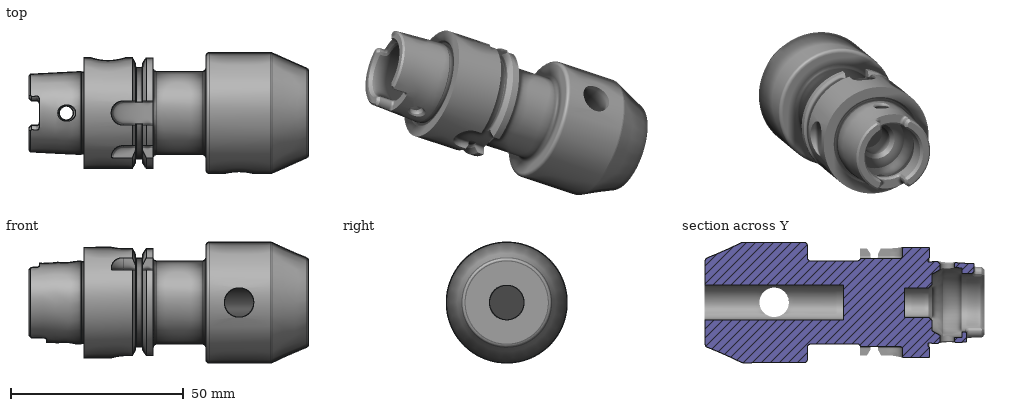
import cadquery as cq


taper_length = 15.9
taper_gauge_radius = 12.05
taper_ratio = 1 / 20
taper_edge_chamfer = 0.5
taper_tip_radius = taper_gauge_radius - taper_ratio * taper_length

relief_start = -0.9
relief_neck_start = -0.65
relief_bottom = 0.4
relief_inner_radius = 11.85
relief_floor_radius = 12.5
relief_outer_radius = 13.0

flange_radius = 16.0
flange_end = 20.0
groove_floor_radius = 13.25
groove_floor_fillet = 0.25
groove_start = 14.9
groove_end = 17.0
groove_bevel_depth = 1.6
groove_start_bevel = 0.9
groove_end_bevel = 1.05

neck_radius = 12.05
neck_fillet = 1.0

nose_end = 65.0
collar_start = 35.3
collar_radius = 17.5
collar_edge_round = 1.0
collar_end = 54.2
nose_radius = 12.7

cavity_radius = 8.4
cavity_mouth_radius = 9.0
cavity_mouth_length = 1.05
cavity_shoulder = -9.3
recess_radius = 10.0
recess_end = -3.9
cavity_bottom = -0.8
cavity_bottom_radius = 8.2
plug_bore_radius = 4.2
plug_bore_chamfer = 1.1
plug_bore_depth = 8.0

drive_slot_width = 7.0
drive_slot_flare = 1.9
drive_slot_flare_radius = 10.3
drive_slot_floor_fillet = 0.7
drive_slot_inner_chamfer = 0.5
drive_slot_bevel = 0.75
top_drive_slot_depth = 3.0
bottom_drive_slot_depth = 5.1

access_hole_x = -5.1
access_hole_radius = 2.0
access_hole_rim_radius = 2.6

keyway_start = 7.9
keyway_floor_height = 12.85
keyway_floor_fillet = 0.5
top_keyway_width = 7.0
bottom_keyway_width = 9.0
notch_wall = 9.4
notch_cutter_radius = 3.5

chip_hole_x = 7.0
chip_hole_radius = 5.0
chip_hole_depth = 4.6

tool_bore_radius = 5.0
tool_bore_depth = 40.0
screw_hole_x = 44.9
screw_hole_radius = 4.25


def turned_body():
    bevel_radius = flange_radius - groove_bevel_depth
    relief_start_radius = taper_gauge_radius + taper_ratio * relief_start
    outline = (
        cq.Workplane("XY")
        .moveTo(-taper_length, 0)
        .lineTo(-taper_length, taper_tip_radius - taper_edge_chamfer)
        .lineTo(-taper_length + taper_edge_chamfer, taper_tip_radius)
        .lineTo(relief_start, relief_start_radius)
        .lineTo(relief_neck_start, relief_inner_radius)
        .lineTo(relief_bottom, relief_inner_radius)
        .lineTo(relief_bottom, relief_floor_radius)
        .lineTo(0, relief_outer_radius)
        .lineTo(0, flange_radius)
        .lineTo(groove_start - groove_start_bevel, flange_radius)
        .lineTo(groove_start, bevel_radius)
        .lineTo(groove_start, groove_floor_radius + groove_floor_fillet)
        .radiusArc((groove_start + groove_floor_fillet, groove_floor_radius), -groove_floor_fillet)
        .lineTo(groove_end - groove_floor_fillet, groove_floor_radius)
        .radiusArc((groove_end, groove_floor_radius + groove_floor_fillet), -groove_floor_fillet)
        .lineTo(groove_end, bevel_radius)
        .lineTo(groove_end + groove_end_bevel, flange_radius)
        .lineTo(flange_end, flange_radius)
        .lineTo(flange_end, neck_radius + neck_fillet)
        .radiusArc((flange_end + neck_fillet, neck_radius), -neck_fillet)
        .lineTo(collar_start - neck_fillet, neck_radius)
        .radiusArc((collar_start, neck_radius + neck_fillet), -neck_fillet)
        .lineTo(collar_start, collar_radius)
        .lineTo(collar_end, collar_radius)
        .lineTo(nose_end, nose_radius)
        .lineTo(nose_end, 0)
        .close()
    )
    body = outline.revolve(360, (0, 0, 0), (1, 0, 0))
    collar_rims = body.edges(cq.selectors.RadiusNthSelector(-1))
    nose_rim = body.faces(">X").edges()
    return body.newObject(collar_rims.vals() + nose_rim.vals()).fillet(collar_edge_round)


def taper_cavity():
    """Cavity with a lead-in mouth, an undercut recess closing in a cone and a chamfered blind plug bore."""
    outline = (
        cq.Workplane("XY")
        .moveTo(-taper_length, 0)
        .lineTo(-taper_length, cavity_mouth_radius)
        .lineTo(-taper_length + cavity_mouth_length, cavity_radius)
        .lineTo(cavity_shoulder, cavity_radius)
        .lineTo(cavity_shoulder, recess_radius)
        .lineTo(recess_end, recess_radius)
        .lineTo(cavity_bottom, cavity_bottom_radius)
        .lineTo(cavity_bottom, plug_bore_radius + plug_bore_chamfer)
        .lineTo(cavity_bottom + plug_bore_chamfer, plug_bore_radius)
        .lineTo(cavity_bottom + plug_bore_depth, plug_bore_radius)
        .lineTo(cavity_bottom + plug_bore_depth, 0)
        .close()
    )
    return outline.revolve(360, (0, 0, 0), (1, 0, 0))


def drive_slot_outline(plane, growth):
    """Slot section with convex flared flanks, grown outwards by the given amount."""
    centre_y = drive_slot_width / 2 + drive_slot_flare
    centre_z = drive_slot_flare_radius - drive_slot_flare
    radius = drive_slot_flare - growth
    half_width = centre_y - radius
    flare_top = centre_z + radius
    return (
        plane.moveTo(-half_width, 0)
        .lineTo(half_width, 0)
        .lineTo(half_width, centre_z)
        .radiusArc((centre_y, flare_top), radius)
        .lineTo(centre_y, flange_radius)
        .lineTo(-centre_y, flange_radius)
        .lineTo(-centre_y, flare_top)
        .radiusArc((-half_width, centre_z), radius)
        .close()
    )


def drive_slot(depth, side):
    """Slot across the taper wall with a bevelled mouth; side is +1 (top) or -1 (bottom)."""
    end_plane = cq.Workplane("YZ", origin=(-taper_length, 0, 0))
    slot = drive_slot_outline(end_plane, 0).extrude(depth)
    slot = slot.faces(">X").edges("not(<Z or >Z)").fillet(drive_slot_floor_fillet)
    mouth = drive_slot_outline(end_plane, drive_slot_bevel).workplane(offset=drive_slot_bevel)
    slot = slot.union(drive_slot_outline(mouth, 0).loft(ruled=True))
    return slot if side > 0 else slot.mirror("XY")


def chamfer_slot_floor(body, depth, side):
    """Chamfer the curved edge where a slot floor meets the cavity."""
    floor_x = depth - taper_length
    margin = 0.1
    edge_box = cq.selectors.BoxSelector(
        (floor_x - margin, -drive_slot_width / 2, 0),
        (floor_x + margin, drive_slot_width / 2, side * (cavity_radius + margin)),
    )
    return body.edges(edge_box).edges("%CIRCLE").chamfer(drive_slot_inner_chamfer)


def access_holes():
    """Cross hole through both walls, with a 45 degree chamfer where it breaks the taper."""
    surface = taper_gauge_radius + taper_ratio * access_hole_x
    rim = access_hole_rim_radius - access_hole_radius
    outline = (
        cq.Workplane("XZ")
        .lineTo(access_hole_radius, 0)
        .lineTo(access_hole_radius, surface - rim)
        .lineTo(access_hole_rim_radius + rim, surface + rim)
        .lineTo(0, surface + rim)
        .close()
    )
    hole = outline.revolve(360, (0, 0, 0), (0, 1, 0))
    return hole.union(hole.mirror("XY")).translate((access_hole_x, 0, 0))


def screw_hole():
    return cq.Workplane("XZ", origin=(screw_hole_x, 0, 0)).circle(screw_hole_radius).extrude(collar_radius)


def keyway(width, side):
    """Round-ended keyway milled into the flange and open towards the neck."""
    radius = width / 2
    straight_start = keyway_start + radius
    cutter = (
        cq.Workplane("XY", origin=(0, 0, keyway_floor_height))
        .moveTo(straight_start, -radius)
        .lineTo(flange_end, -radius)
        .lineTo(flange_end, radius)
        .lineTo(straight_start, radius)
        .threePointArc((keyway_start, 0), (straight_start, -radius))
        .close()
        .extrude(flange_radius)
        .faces("<Z")
        .edges("not >X")
        .fillet(keyway_floor_fillet)
    )
    return cutter if side > 0 else cutter.mirror("XY")


def index_notch():
    """Corner notch on the -Y, +Z shoulder of the flange, ending in a cutter radius."""
    straight_start = keyway_start + notch_cutter_radius
    centre_y = -notch_wall - notch_cutter_radius
    return (
        cq.Workplane("XY", origin=(0, 0, notch_wall))
        .moveTo(straight_start, -notch_wall)
        .lineTo(flange_end, -notch_wall)
        .lineTo(flange_end, -flange_radius)
        .lineTo(keyway_start, -flange_radius)
        .lineTo(keyway_start, centre_y)
        .radiusArc((straight_start, -notch_wall), notch_cutter_radius)
        .close()
        .extrude(flange_radius)
        .faces("<Z")
        .edges(">Y")
        .fillet(keyway_floor_fillet)
    )


def chip_hole():
    plane = cq.Workplane("XZ", origin=(chip_hole_x, flange_radius, 0))
    return plane.circle(chip_hole_radius).extrude(chip_hole_depth)


def tool_bore():
    return cq.Workplane("YZ", origin=(nose_end, 0, 0)).circle(tool_bore_radius).extrude(-tool_bore_depth)


result = turned_body()
result = result.cut(taper_cavity())
result = result.cut(drive_slot(top_drive_slot_depth, 1))
result = result.cut(drive_slot(bottom_drive_slot_depth, -1))
result = chamfer_slot_floor(result, top_drive_slot_depth, 1)
result = chamfer_slot_floor(result, bottom_drive_slot_depth, -1)
result = result.cut(access_holes())
result = result.cut(keyway(top_keyway_width, 1))
result = result.cut(keyway(bottom_keyway_width, -1))
result = result.cut(index_notch())
result = result.cut(chip_hole())
result = result.cut(tool_bore())
result = result.cut(screw_hole())